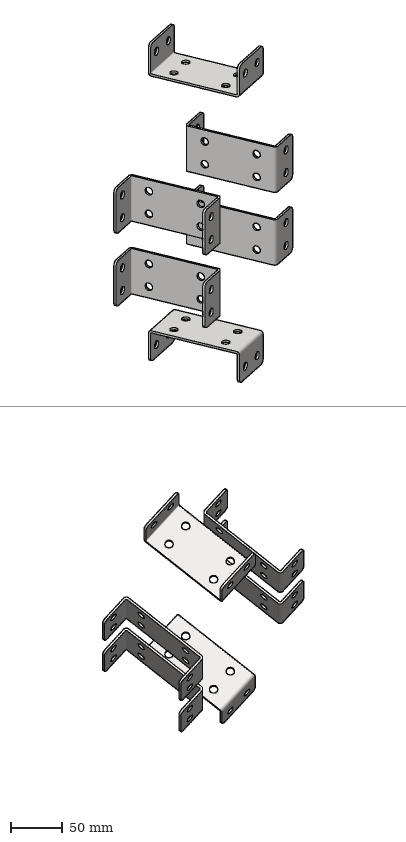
import cadquery as cq

bracket_length = 100.0
bracket_width = 50.0
flange_height = 35.0
thickness = 2.5
bend_inner_radius = 1.0
bend_outer_radius = bend_inner_radius + thickness
corner_radius = 5.0

hole_diameter = 8.0
hole_spacing_across = 25.0
web_hole_spacing_along = 57.0
flange_hole_height = 21.3

overall_depth = 184.62
overall_height = 349.74
side_pair_pitch = 80.0
side_pair_center_z = -15.87
end_bracket_y = 5.4


def bent_channel():
    """U-shaped sheet: outer web face on Z = 0, flanges rising along +Z."""
    outer = (
        cq.Workplane("XY")
        .box(bracket_length, bracket_width, flange_height, centered=(True, True, False))
        .edges("|Y and <Z")
        .fillet(bend_outer_radius)
    )
    inner = (
        cq.Workplane("XY")
        .workplane(offset=thickness)
        .box(bracket_length - 2 * thickness, bracket_width, flange_height, centered=(True, True, False))
        .edges("|Y and <Z")
        .fillet(bend_inner_radius)
    )
    return outer.cut(inner)


def web_holes():
    """Four cylinders through the web."""
    return (
        cq.Workplane("XY")
        .rarray(web_hole_spacing_along, hole_spacing_across, 2, 2)
        .circle(hole_diameter / 2)
        .extrude(thickness)
    )


def flange_holes():
    """Two cylinders that each pass through both flanges."""
    return (
        cq.Workplane("YZ")
        .center(0, flange_hole_height)
        .rarray(hole_spacing_across, 1, 2, 1)
        .circle(hole_diameter / 2)
        .extrude(bracket_length / 2, both=True)
    )


def make_bracket():
    """One bracket with rounded flange corners, web down and flanges up."""
    rounded = bent_channel().edges("|X and >Z").fillet(corner_radius)
    return rounded.cut(web_holes()).cut(flange_holes())


def place_bracket(tilt, y, z):
    """A copy tilted about X, with its outer web face centred at (0, y, z)."""
    return make_bracket().rotate((0, 0, 0), (1, 0, 0), tilt).translate((0, y, z)).val()


web_face_y = overall_depth / 2 - flange_height
web_face_z = overall_height / 2 - flange_height

end_brackets = [
    place_bracket(0, end_bracket_y, web_face_z),
    place_bracket(180, end_bracket_y, -web_face_z),
]

side_brackets = []
for level in (-1, 1):
    z = side_pair_center_z + level * side_pair_pitch / 2
    side_brackets.append(place_bracket(90, -web_face_y, z))
    side_brackets.append(place_bracket(-90, web_face_y, z))

result = cq.Compound.makeCompound([*end_brackets, *side_brackets])